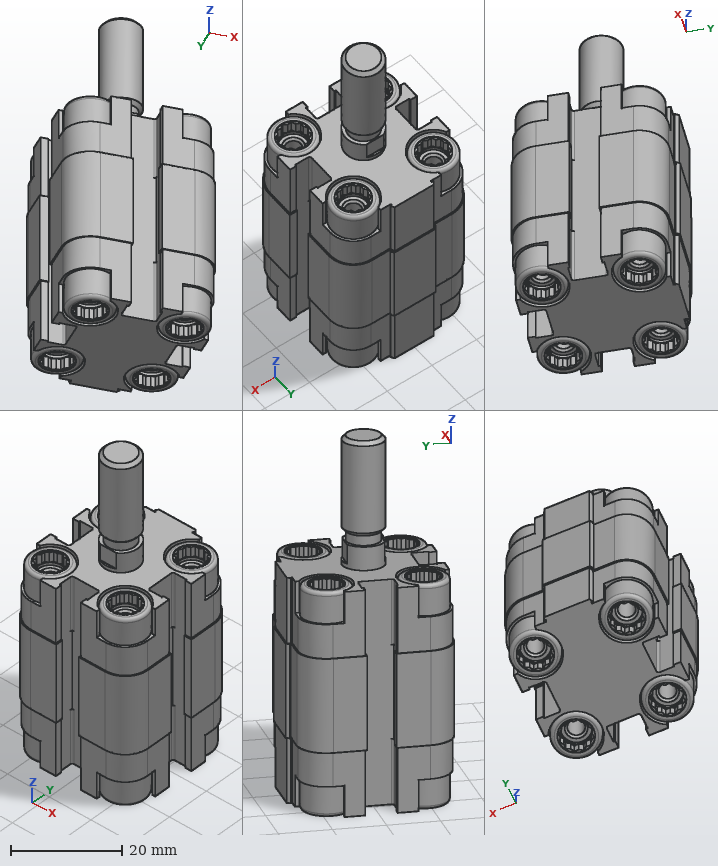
import cadquery as cq
import math


housing_height = 43.0
total_height = 67.5
cap_height = 12.5
barrel_height = housing_height - 2 * cap_height

barrel_half_width = 14.5
cap_inset = 0.25
collar_spacing = 18.0
collar_offset = collar_spacing / 2
rail_height = 1.0
rail_tip_half_width = 4.65
rail_lip_half_width = 5.1
rail_root_half_width = 4.5
rail_undercut = 0.3

slot_floor = 9.5
slot_half_width = 3.35
slot_mouth_half_width = 2.75
slot_lip_inner = 12.8
slot_corner_radius = 0.45

recess_depth = 6.0
recess_radius = 5.0
recess_edge = 6.8
collar_diameter = 9.5
collar_rounding = 0.75
spline_points = 12
socket_rim_radius = 3.4
socket_rim_depth = 0.2
spline_tip_radius = 3.24
spline_depth = 2.45
socket_diameter = 5.7
spline_root_radius = socket_diameter / 2
socket_depth = 3.1
thread_core_diameter = 4.13
bolt_hole_diameter = 3.24

rod_diameter = 8.0
neck_diameter = 6.47
shoulder_top = 47.5
flats_bottom = 43.85
flats_width = 7.0
neck_top = 49.35
stud_chamfer = (rod_diameter - neck_diameter) / 2


def outline(inset):
    """Rounded square with a tapered, undercut rail on the +Y side, set in by the given distance."""
    half = barrel_half_width - inset
    radius = half - collar_offset
    diagonal = collar_offset + radius * math.sqrt(0.5)
    rail_tip = rail_tip_half_width - inset
    rail_lip = rail_lip_half_width - inset
    return (
        cq.Workplane("XY")
        .moveTo(-collar_offset, -half)
        .lineTo(collar_offset, -half)
        .threePointArc((diagonal, -diagonal), (half, -collar_offset))
        .lineTo(half, collar_offset)
        .threePointArc((diagonal, diagonal), (collar_offset, half))
        .lineTo(rail_root_half_width, half)
        .lineTo(rail_root_half_width, half + rail_undercut)
        .lineTo(rail_lip, half + rail_undercut)
        .lineTo(rail_tip, half + rail_height)
        .lineTo(-rail_tip, half + rail_height)
        .lineTo(-rail_lip, half + rail_undercut)
        .lineTo(-rail_root_half_width, half + rail_undercut)
        .lineTo(-rail_root_half_width, half)
        .lineTo(-collar_offset, half)
        .threePointArc((-diagonal, diagonal), (-half, collar_offset))
        .lineTo(-half, -collar_offset)
        .threePointArc((-diagonal, -diagonal), (-collar_offset, -half))
        .close()
    )


def slot(inset, height, corner_radius):
    """T-slot of the -Y face, mouth widened by the inset, floor corners rounded if a radius is given."""
    depth = slot_lip_inner - slot_floor
    channel = (
        cq.Workplane("XY")
        .box(2 * slot_half_width, depth, height, centered=(True, False, False))
        .translate((0, -slot_lip_inner, 0))
    )
    if corner_radius > 0:
        channel = channel.faces(">Y").edges("|Z").fillet(corner_radius)
    mouth = (
        cq.Workplane("XY")
        .box(2 * (slot_mouth_half_width + inset), barrel_half_width, height, centered=(True, False, False))
        .translate((0, -slot_floor - barrel_half_width - depth / 2, 0))
    )
    return channel.union(mouth)


def slotted_section(inset, height, corner_radius):
    """Length of the housing with its three T-slots."""
    section = outline(inset).extrude(height)
    for turn in (-90, 0, 90):
        section = section.cut(slot(inset, height, corner_radius).rotate((0, 0, 0), (0, 0, 1), turn))
    return section


def corner_recess():
    """Pocket round a collar on the +X +Y corner, open to both outer sides, its floor at Z = 0."""
    opening = barrel_half_width - recess_edge
    corner = (
        cq.Workplane("XY")
        .box(opening, opening, recess_depth, centered=False)
        .translate((recess_edge, recess_edge, 0))
    )
    well = cq.Workplane("XY").center(collar_offset, collar_offset).circle(recess_radius).extrude(recess_depth)
    return corner.union(well)


def collar():
    """Round collar on the +X +Y corner."""
    return (
        cq.Workplane("XY")
        .center(collar_offset, collar_offset)
        .circle(collar_diameter / 2)
        .extrude(recess_depth)
        .faces(">Z")
        .edges()
        .fillet(collar_rounding)
    )


def socket():
    """Splined screw socket sunk from Z = 0 round the Z axis, with a countersink at its floor."""
    points = []
    for index in range(2 * spline_points):
        radius = spline_root_radius if index % 2 else spline_tip_radius
        angle = index * math.pi / spline_points
        points.append((radius * math.cos(angle), radius * math.sin(angle)))
    spline = cq.Workplane("XY").polyline(points).close().extrude(-spline_depth)
    rim = cq.Workplane("XY").circle(socket_rim_radius).extrude(-socket_rim_depth)
    bore = cq.Workplane("XY").circle(socket_diameter / 2).extrude(-socket_depth)
    sink_depth = (thread_core_diameter - bolt_hole_diameter) / 2
    countersink = cq.Workplane("XY").add(
        cq.Solid.makeCone(
            thread_core_diameter / 2,
            bolt_hole_diameter / 2,
            sink_depth,
            cq.Vector(0, 0, -socket_depth),
            cq.Vector(0, 0, -1),
        )
    )
    return spline.union(rim).union(bore).union(countersink)


def end_cap():
    """Cap with its outer face up and its inner face at Z = 0."""
    cap = slotted_section(cap_inset, cap_height, slot_corner_radius)
    for turn in range(0, 360, 90):
        floor = cap_height - recess_depth
        cap = cap.cut(corner_recess().translate((0, 0, floor)).rotate((0, 0, 0), (0, 0, 1), turn))
        cap = cap.union(collar().translate((0, 0, floor)).rotate((0, 0, 0), (0, 0, 1), turn))
    for x in (-collar_offset, collar_offset):
        for y in (-collar_offset, collar_offset):
            cap = cap.cut(socket().translate((x, y, cap_height)))
    return cap


def build_housing():
    """Barrel between two mirrored end caps, with bolt holes through all of it."""
    barrel = slotted_section(0, barrel_height, 0).translate((0, 0, cap_height))
    upper_cap = end_cap().translate((0, 0, cap_height + barrel_height))
    lower_cap = end_cap().mirror("XY").translate((0, 0, cap_height))
    bolt_holes = (
        cq.Workplane("XY")
        .rect(collar_spacing, collar_spacing, forConstruction=True)
        .vertices()
        .circle(bolt_hole_diameter / 2)
        .extrude(housing_height)
    )
    return barrel.union(upper_cap).union(lower_cap).cut(bolt_holes)


def build_rod():
    """Rod end with two wrench flats, a neck and a stud chamfered at both ends, standing on the housing."""
    shoulder = cq.Workplane("XY", origin=(0, 0, housing_height)).circle(rod_diameter / 2)
    shoulder = shoulder.extrude(shoulder_top - housing_height)
    flats = (
        cq.Workplane("XY", origin=(0, 0, flats_bottom))
        .rect(2 * rod_diameter, 2 * rod_diameter)
        .rect(2 * rod_diameter, flats_width)
        .extrude(shoulder_top - flats_bottom)
    )
    neck = cq.Workplane("XY", origin=(0, 0, shoulder_top)).circle(neck_diameter / 2)
    neck = neck.extrude(neck_top - shoulder_top)
    stud = cq.Workplane("XY", origin=(0, 0, neck_top)).circle(rod_diameter / 2)
    stud = stud.extrude(total_height - neck_top).edges().chamfer(stud_chamfer)
    return shoulder.cut(flats).union(neck).union(stud)


housing = build_housing()
rod = build_rod()
result = cq.Compound.makeCompound([housing.val(), rod.val()])